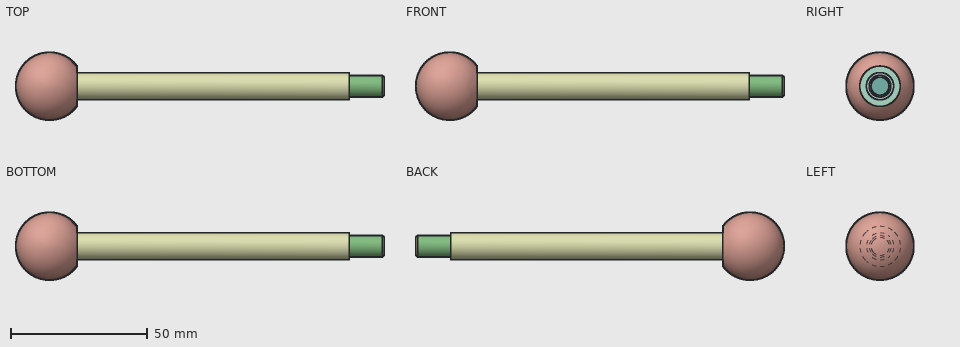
import cadquery as cq

total_length = 135.5

ball_diameter = 25.0
ball_radius = ball_diameter / 2
ball_length = 22.6

rod_diameter = 10.0
rod_length = 100.0
pin_diameter = 8.0
pin_length = total_length - ball_length - rod_length
pin_chamfer = 0.7


def make_ball():
    """Ball centred on the X axis with its tip at the origin, cut flat on the +X side."""
    sphere = cq.Workplane("XY").sphere(ball_radius).translate((ball_radius, 0, 0))
    keep = cq.Workplane("XY").box(
        ball_length, ball_diameter, ball_diameter, centered=(False, True, True)
    )
    return sphere.intersect(keep)


def make_cylinder(start, length, diameter):
    """Cylinder along +X beginning at the given X position."""
    return cq.Workplane("YZ", origin=(start, 0, 0)).circle(diameter / 2).extrude(length)


rod_end = ball_length + rod_length
rod = make_cylinder(ball_radius, rod_end - ball_radius, rod_diameter)
pin = make_cylinder(rod_end, pin_length, pin_diameter).faces(">X").chamfer(pin_chamfer)

result = make_ball().union(rod).union(pin)